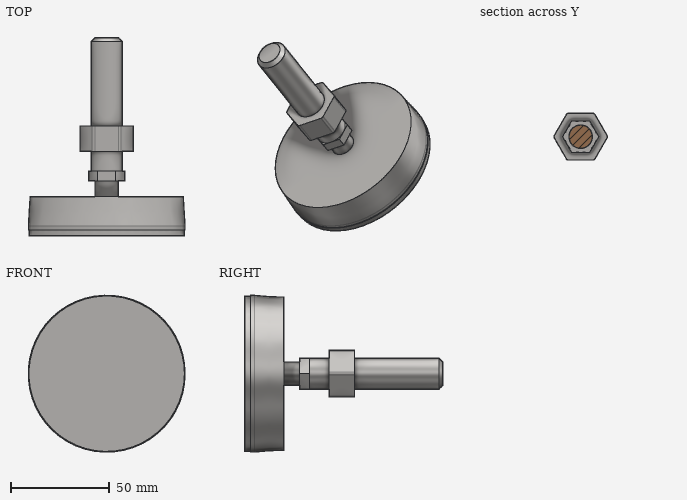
import cadquery as cq
import math


PAD_HEIGHT = 20.0
PAD_RADIUS = 40.0
PAD_TOP_RADIUS = 39.1
SOLE_RADIUS = 39.6
SOLE_HEIGHT = 3.0
RIM_TOP = 5.0

TOTAL_LENGTH = 101.0
SPINDLE_RADIUS = 8.0
NECK_RADIUS = 6.0
TIP_CHAMFER = 2.0

HEXAGON_SIDES = 6

COLLAR_WIDTH = 16.0
COLLAR_START = 28.0
COLLAR_LENGTH = 5.0

NUT_WIDTH = 24.0
NUT_START = 43.0
NUT_LENGTH = 13.0
NUT_CORNER_RADIUS = 1.5


def revolve_about_y(profile):
    """Turn an (X, Y) half profile around the Y axis."""
    return cq.Workplane("XY").polyline(profile).close().revolve(360, (0, 0, 0), (0, 1, 0))


def make_pad():
    """Tapered pad with a straight rim and a sole of slightly smaller radius."""
    return revolve_about_y([
        (0, 0),
        (SOLE_RADIUS, 0),
        (SOLE_RADIUS, SOLE_HEIGHT),
        (PAD_RADIUS, SOLE_HEIGHT),
        (PAD_RADIUS, RIM_TOP),
        (PAD_TOP_RADIUS, PAD_HEIGHT),
        (0, PAD_HEIGHT),
    ])


def make_spindle():
    """Neck rising from the pad and the shaft above it, chamfered at the tip."""
    return revolve_about_y([
        (0, PAD_HEIGHT),
        (NECK_RADIUS, PAD_HEIGHT),
        (NECK_RADIUS, COLLAR_START),
        (SPINDLE_RADIUS, COLLAR_START),
        (SPINDLE_RADIUS, TOTAL_LENGTH - TIP_CHAMFER),
        (SPINDLE_RADIUS - TIP_CHAMFER, TOTAL_LENGTH),
        (0, TOTAL_LENGTH),
    ])


def make_hexagon(width, start, length):
    """Hexagonal prism along +Y with corners on the X axis and flats facing +Z and -Z."""
    corner_diameter = width / math.cos(math.pi / HEXAGON_SIDES)
    base_plane = cq.Workplane("XZ", origin=(0, start, 0))
    return base_plane.polygon(HEXAGON_SIDES, corner_diameter).extrude(-length)


collar = make_hexagon(COLLAR_WIDTH, COLLAR_START, COLLAR_LENGTH)
nut = make_hexagon(NUT_WIDTH, NUT_START, NUT_LENGTH).edges("|Y").fillet(NUT_CORNER_RADIUS)

result = make_pad().union(make_spindle()).union(collar).union(nut)